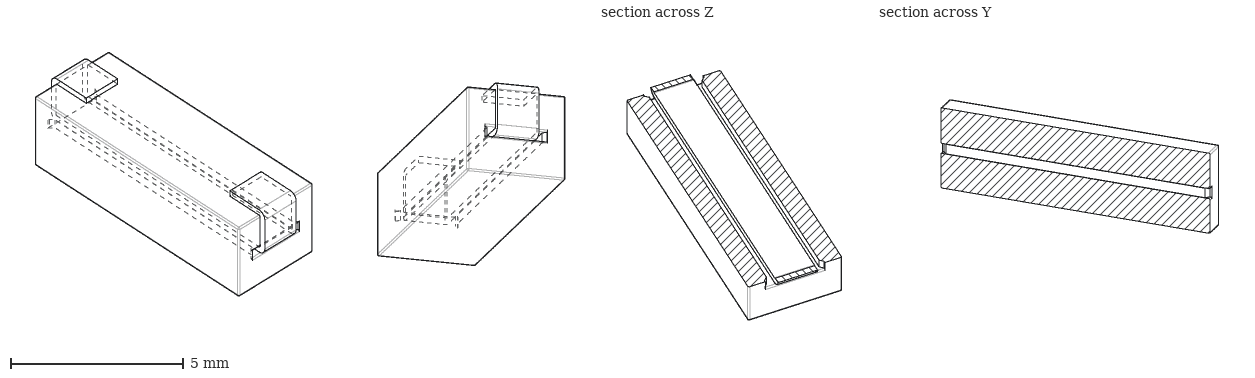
import cadquery as cq

overall_length = 8.9
strip_thickness = 0.2
housing_width = 3.0
housing_height = 2.55
edge_radius = 0.05

slot_depth_from_top = 1.14
slot_height = 0.3
mouth_width = 1.905
slot_width = 1.67
mouth_radius = edge_radius

strip_width = 1.27
flap_length = 1.46
bend_inner_radius = edge_radius
strip_bottom_depth = 1.38

housing_length = overall_length - 2 * strip_thickness
housing_end = housing_length / 2
slot_top = housing_height - slot_depth_from_top
slot_bottom = slot_top - slot_height
bend_outer_radius = bend_inner_radius + strip_thickness


def make_slot():
    """Cutter for the slot: side walls taper inward, floor and roof flare at the mouths."""
    taper_start = housing_end - mouth_radius
    side_step = (mouth_width - slot_width) / 2
    taper_end = taper_start - side_step
    half_mouth = mouth_width / 2
    half_slot = slot_width / 2
    plan_outline = [
        (-housing_end, -half_mouth),
        (-taper_start, -half_mouth),
        (-taper_end, -half_slot),
        (taper_end, -half_slot),
        (taper_start, -half_mouth),
        (housing_end, -half_mouth),
        (housing_end, half_mouth),
        (taper_start, half_mouth),
        (taper_end, half_slot),
        (-taper_end, half_slot),
        (-taper_start, half_mouth),
        (-housing_end, half_mouth),
    ]
    plan = cq.Workplane("XY").polyline(plan_outline).close().extrude(housing_height)
    floor_lip = slot_bottom - mouth_radius
    roof_lip = slot_top + mouth_radius
    side = (
        cq.Workplane("XZ")
        .moveTo(-housing_end, floor_lip)
        .radiusArc((-taper_start, slot_bottom), mouth_radius)
        .lineTo(taper_start, slot_bottom)
        .radiusArc((housing_end, floor_lip), mouth_radius)
        .lineTo(housing_end, roof_lip)
        .radiusArc((taper_start, slot_top), mouth_radius)
        .lineTo(-taper_start, slot_top)
        .radiusArc((-housing_end, roof_lip), mouth_radius)
        .close()
        .extrude(mouth_width / 2, both=True)
    )
    return plan.intersect(side)


def make_housing():
    """Rounded block standing on Z = 0, with the slot through its length."""
    block = cq.Workplane("XY").box(
        housing_length, housing_width, housing_height, centered=(True, True, False)
    )
    return block.edges().fillet(edge_radius).cut(make_slot())


def strip_prism(length, bottom, top, radius):
    """Strip-wide block centred on X and Y, with its four edges along Y rounded."""
    height = top - bottom
    block = cq.Workplane("XY").box(length, strip_width, height).edges("|Y").fillet(radius)
    return block.translate((0, 0, bottom + height / 2))


def make_terminal_strip():
    """Bent strip passing through the slot, up both ends and over the top edges."""
    strip_bottom = housing_height - strip_bottom_depth
    outer = strip_prism(
        overall_length, strip_bottom, housing_height + strip_thickness, bend_outer_radius
    )
    inner = strip_prism(
        housing_length, strip_bottom + strip_thickness, housing_height, bend_inner_radius
    )
    flap_gap = cq.Workplane("XY").box(
        overall_length - 2 * flap_length,
        strip_width,
        strip_thickness,
        centered=(True, True, False),
    ).translate((0, 0, housing_height))
    return outer.cut(inner).cut(flap_gap)


housing = make_housing()
terminal_strip = make_terminal_strip()

result = cq.Compound.makeCompound([housing.solids().val(), terminal_strip.solids().val()])